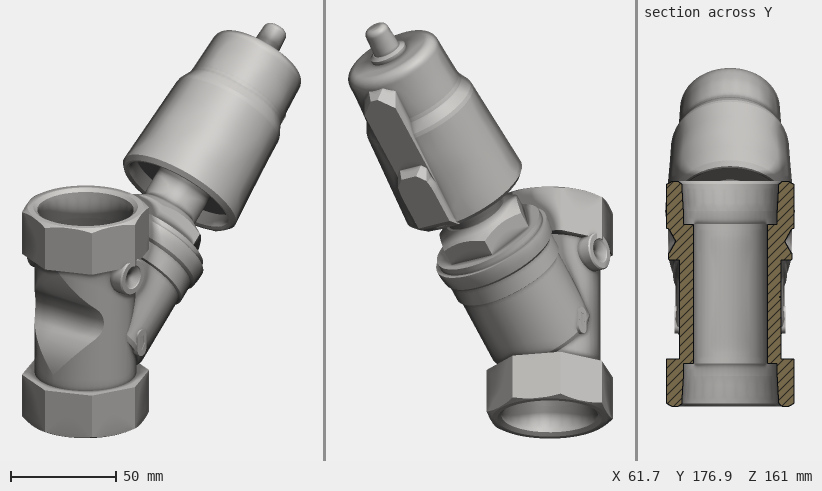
import cadquery as cq
import math

BODY_LENGTH = 107.4
BRANCH_ANGLE = 40.0
BRANCH_ORIGIN_Z = -19.3
OVERLAP = 1.0

PIPE_RADIUS = 24.2
BORE_DIAMETER = 35.0
OCTAGON_LENGTH = 22.8
OCTAGON_CORNER_RADIUS = 30.4
OCTAGON_FACE_RADIUS = 27.6
OCTAGON_CHAMFER_HEIGHT = 1.6
SOCKET_MOUTH_RADIUS = 24.9
SOCKET_DIAMETER = 45.93
SOCKET_END_RADIUS = 22.2
SOCKET_MOUTH_DEPTH = 1.5
SOCKET_TAPER_END = 14.5
SOCKET_DEPTH = 20.5

WAIST_Z = 3.15
WAIST_DEPTH_Y = -11.9
WAIST_INNER_RADIUS = 10.5
WAIST_OUTER_RADIUS = 27.7
WAIST_WALL = 2.8
PASSAGE_HUMP_RADIUS = 20.0

BOSS_RADIUS = 8.95
BOSS_FACE_X = 29.4
BOSS_Z = 25.0
BOSS_EDGE_CHAMFER = 0.6
DIMPLE_RADIUS = 5.8
DIMPLE_EDGE_CHAMFER = 0.4
DIMPLE_CONE_DEPTH = 3.0

PAD_WIDTH = 6.5
PAD_LENGTH = 13.2
PAD_Y = 10.2
PAD_Z = -12.4
PAD_FACE_X = 26.4
ARROW_DEPTH = 0.3
ARROW_LENGTH = 7.0
ARROW_HEAD_LENGTH = 3.2
ARROW_WIDTH = 4.8
ARROW_SHAFT_WIDTH = 2.8

BRANCH_DIAMETER = 51.7
BRANCH_START = 7.6
BRANCH_START_BEVEL = 2.0
BRANCH_START_RADIUS = 25.0
COLLAR_DIAMETER = 54.4
COLLAR_START = 45.2
COLLAR_RAMP_LENGTH = 0.6
FLANGE_RADIUS = 29.25
FLANGE_MIDDLE_RADIUS = 29.1
FLANGE_START = 53.9
FLANGE_STEP = 1.3
FLANGE_MIDDLE = 58.4
FLANGE_END = 62.7
COLLAR_END = 66.1

NUT_FLATS = 41.0
NUT_END = 80.0
NUT_END_RADIUS = 15.2
NUT_CONE_SLOPE = 1.44
STEM_DIAMETER = 28.0

HOUSING_START = 89.8
HOUSING_START_RADIUS = 29.0
RECESS_RADIUS = 27.0
RECESS_DEPTH = 8.0
RECESS_MOUTH_CHAMFER = 1.0
SKIRT_START = 91.9
SKIRT_START_RADIUS = 30.84
SKIRT_END = 138.6
SKIRT_END_RADIUS = 28.05
SHOULDER_START = 140.6
SHOULDER_START_RADIUS = 27.6
SHOULDER_END = 145.6
SHOULDER_END_RADIUS = 25.1
CAP_START = 147.6
CAP_START_RADIUS = 24.7
CAP_ROUND_START = 166.9
CAP_ROUND_RADIUS = 5.0
CAP_FACE_RADIUS = 18.75
HOUSING_END = CAP_ROUND_START + CAP_ROUND_RADIUS

PIN_COLLAR_DIAMETER = 18.2
PIN_COLLAR_END = HOUSING_END + 1.9
PIN_SEAT_END = HOUSING_END + 3.0
PIN_SEAT_RADIUS = 7.2
PIN_BASE_RADIUS = 6.6
PIN_TOP_RADIUS = 5.95
PIN_ROUND_RADIUS = 2.95
PIN_END = 187.8

PORT_HALF_WIDTH = 9.0
PORT_TIP_HALF_WIDTH = 2.0
PORT_TIP_LENGTH = 5.0
PORT_ROOT_HEIGHT = 18.0
PORT_END_LEAN = 0.49
PORT_SLANT = 5.6
PORT_LOW_HEIGHT = 34.0
PORT_LOW_END = 122.5
PORT_LOW_TAPER_START = 112.4
PORT_LOW_TAPER_END = 118.0
PORT_LOW_TAPER_DEPTH = 0.7
PORT_LOW_SHOULDER_Y = 112.3
PORT_HIGH_HEIGHT = 28.9
PORT_HIGH_END = 164.0
PORT_HIGH_SHOULDER_Y = 139.2


def revolved(outline):
    """Solid of revolution about local Z from a closed outline of (radius, station)."""
    return outline.close().revolve(360, (0, 0, 0), (0, 1, 0))


def on_branch(local):
    """Move a shape built about local Z onto the inclined branch axis."""
    tilted = local.rotate((0, 0, 0), (1, 0, 0), BRANCH_ANGLE - 90)
    return tilted.translate((0, 0, BRANCH_ORIGIN_Z))


def on_both_sides(shape):
    """A shape on one X side together with its mirror image on the other side."""
    return shape.union(shape.mirror("YZ"))


def octagon_end():
    """Octagonal pipe end with its outer (+Z) corners chamfered by a cone."""
    top = BODY_LENGTH / 2
    octagon = (
        cq.Workplane("XY")
        .workplane(offset=top - OCTAGON_LENGTH)
        .polygon(8, 2 * OCTAGON_CORNER_RADIUS)
        .extrude(OCTAGON_LENGTH)
    )
    envelope = revolved(
        cq.Workplane("XZ")
        .moveTo(0, 0)
        .lineTo(OCTAGON_CORNER_RADIUS, 0)
        .lineTo(OCTAGON_CORNER_RADIUS, top - OCTAGON_CHAMFER_HEIGHT)
        .lineTo(OCTAGON_FACE_RADIUS, top)
        .lineTo(0, top)
    )
    return octagon.intersect(envelope)


def socket():
    """Tapered pipe socket cut from the +Z end face."""
    top = BODY_LENGTH / 2
    return revolved(
        cq.Workplane("XZ")
        .moveTo(0, top)
        .lineTo(SOCKET_MOUTH_RADIUS, top)
        .lineTo(SOCKET_DIAMETER / 2, top - SOCKET_MOUTH_DEPTH)
        .lineTo(SOCKET_END_RADIUS, top - SOCKET_TAPER_END)
        .lineTo(SOCKET_END_RADIUS, top - SOCKET_DEPTH)
        .lineTo(0, top - SOCKET_DEPTH)
    )


def waist():
    """Prism along X that fills the waist."""
    rounds = WAIST_INNER_RADIUS + WAIST_OUTER_RADIUS
    turn = math.acos(1 - (WAIST_DEPTH_Y + PIPE_RADIUS) / rounds)
    join_y = WAIST_DEPTH_Y - WAIST_INNER_RADIUS * (1 - math.cos(turn))
    join_z = WAIST_INNER_RADIUS * math.sin(turn)
    end_z = rounds * math.sin(turn)
    middle_y = -PIPE_RADIUS + WAIST_OUTER_RADIUS * (1 - math.cos(turn / 2))
    middle_z = end_z - WAIST_OUTER_RADIUS * math.sin(turn / 2)
    outside_y = -2 * PIPE_RADIUS
    return (
        cq.Workplane("YZ", origin=(0, 0, WAIST_Z))
        .moveTo(outside_y, -end_z)
        .lineTo(-PIPE_RADIUS, -end_z)
        .threePointArc((middle_y, -middle_z), (join_y, -join_z))
        .threePointArc((WAIST_DEPTH_Y, 0), (join_y, join_z))
        .threePointArc((middle_y, middle_z), (-PIPE_RADIUS, end_z))
        .lineTo(outside_y, end_z)
        .close()
        .extrude(PIPE_RADIUS + OVERLAP, both=True)
    )


def passage_hump():
    """Cylinder along X that keeps a wall between the bore and the waist."""
    centre_y = WAIST_DEPTH_Y + WAIST_WALL - PASSAGE_HUMP_RADIUS
    return (
        cq.Workplane("YZ", origin=(0, centre_y, WAIST_Z))
        .circle(PASSAGE_HUMP_RADIUS)
        .extrude(PIPE_RADIUS, both=True)
    )


def pipe():
    """Waisted pipe between the two octagonal ends."""
    tube = cq.Workplane("XY").circle(PIPE_RADIUS).extrude(BODY_LENGTH / 2 - OVERLAP, both=True)
    upper_end = octagon_end()
    return tube.cut(waist()).union(upper_end).union(upper_end.mirror("XY"))


def flow_passage():
    """Bore narrowed by the hump behind the waist, with a socket at each end."""
    bore = cq.Workplane("XY").circle(BORE_DIAMETER / 2).extrude(BODY_LENGTH / 2 - OVERLAP, both=True)
    upper_socket = socket()
    return bore.cut(passage_hump()).union(upper_socket).union(upper_socket.mirror("XY"))


def plug_boss():
    """Round boss on the -X side with a conical dimple in its face."""
    root_x = BORE_DIAMETER / 2 + OVERLAP
    boss = revolved(
        cq.Workplane("XZ")
        .moveTo(0, root_x)
        .lineTo(BOSS_RADIUS, root_x)
        .lineTo(BOSS_RADIUS, BOSS_FACE_X - BOSS_EDGE_CHAMFER)
        .lineTo(BOSS_RADIUS - BOSS_EDGE_CHAMFER, BOSS_FACE_X)
        .lineTo(DIMPLE_RADIUS, BOSS_FACE_X)
        .lineTo(DIMPLE_RADIUS - DIMPLE_EDGE_CHAMFER, BOSS_FACE_X - DIMPLE_EDGE_CHAMFER)
        .lineTo(0, BOSS_FACE_X - DIMPLE_EDGE_CHAMFER - DIMPLE_CONE_DEPTH)
    )
    return boss.rotate((0, 0, 0), (0, 1, 0), -90).translate((0, 0, BOSS_Z))


def arrow_pad():
    """Raised oblong pad on the -X side of the branch, engraved with a downward arrow."""
    face = cq.Workplane("YZ", origin=(-PAD_FACE_X, PAD_Y, PAD_Z))
    pad = face.slot2D(PAD_LENGTH, PAD_WIDTH, 90).extrude(PAD_FACE_X - BORE_DIAMETER / 2 - OVERLAP)
    tip = -ARROW_LENGTH / 2
    head = tip + ARROW_HEAD_LENGTH
    arrow = (
        face.moveTo(0, tip)
        .lineTo(ARROW_WIDTH / 2, head)
        .lineTo(ARROW_SHAFT_WIDTH / 2, head)
        .lineTo(ARROW_SHAFT_WIDTH / 2, -tip)
        .lineTo(-ARROW_SHAFT_WIDTH / 2, -tip)
        .lineTo(-ARROW_SHAFT_WIDTH / 2, head)
        .lineTo(-ARROW_WIDTH / 2, head)
        .close()
        .extrude(ARROW_DEPTH)
    )
    return pad.cut(arrow)


def branch():
    """Branch barrel with its collar and rounded flange."""
    barrel = BRANCH_DIAMETER / 2
    collar = COLLAR_DIAMETER / 2
    return revolved(
        cq.Workplane("XZ")
        .moveTo(0, BRANCH_START)
        .lineTo(BRANCH_START_RADIUS, BRANCH_START)
        .lineTo(barrel, BRANCH_START + BRANCH_START_BEVEL)
        .lineTo(barrel, COLLAR_START - COLLAR_RAMP_LENGTH)
        .lineTo(collar, COLLAR_START)
        .lineTo(collar, FLANGE_START)
        .lineTo(collar + FLANGE_STEP, FLANGE_START + FLANGE_STEP)
        .threePointArc((FLANGE_MIDDLE_RADIUS, FLANGE_MIDDLE), (FLANGE_RADIUS, FLANGE_END))
        .lineTo(collar, FLANGE_END)
        .lineTo(collar, COLLAR_END)
        .lineTo(0, COLLAR_END)
    )


def bonnet_nut():
    """Hexagon nut with a conical top."""
    start = COLLAR_END - OVERLAP
    corner_diameter = NUT_FLATS / math.cos(math.radians(30))
    nut = cq.Workplane("XY").workplane(offset=start).polygon(6, corner_diameter).extrude(NUT_END - start)
    wide_radius = NUT_END_RADIUS + NUT_CONE_SLOPE * (NUT_END - start)
    cone = revolved(
        cq.Workplane("XZ")
        .moveTo(0, start)
        .lineTo(wide_radius, start)
        .lineTo(NUT_END_RADIUS, NUT_END)
        .lineTo(0, NUT_END)
    )
    return nut.intersect(cone)


def stem():
    """Round neck between the nut and the actuator housing."""
    start = NUT_END - OVERLAP
    length = HOUSING_START + RECESS_DEPTH + OVERLAP - start
    return cq.Workplane("XY").workplane(offset=start).circle(STEM_DIAMETER / 2).extrude(length)


def housing():
    """Tapered actuator skirt, shoulder and cap."""
    diagonal = CAP_ROUND_RADIUS * math.sqrt(0.5)
    return revolved(
        cq.Workplane("XZ")
        .moveTo(0, HOUSING_START)
        .lineTo(HOUSING_START_RADIUS, HOUSING_START)
        .lineTo(SKIRT_START_RADIUS, SKIRT_START)
        .lineTo(SKIRT_END_RADIUS, SKIRT_END)
        .lineTo(SHOULDER_START_RADIUS, SHOULDER_START)
        .lineTo(SHOULDER_END_RADIUS, SHOULDER_END)
        .lineTo(CAP_START_RADIUS, CAP_START)
        .lineTo(CAP_FACE_RADIUS + CAP_ROUND_RADIUS, CAP_ROUND_START)
        .threePointArc((CAP_FACE_RADIUS + diagonal, CAP_ROUND_START + diagonal), (CAP_FACE_RADIUS, HOUSING_END))
        .lineTo(0, HOUSING_END)
    )


def indicator_pin():
    """Tapered, round-tipped pin standing on a stepped collar."""
    tip_radius = PIN_TOP_RADIUS - PIN_ROUND_RADIUS
    round_start = PIN_END - PIN_ROUND_RADIUS
    diagonal = PIN_ROUND_RADIUS * math.sqrt(0.5)
    collar = PIN_COLLAR_DIAMETER / 2
    return revolved(
        cq.Workplane("XZ")
        .moveTo(0, HOUSING_END - OVERLAP)
        .lineTo(collar, HOUSING_END - OVERLAP)
        .lineTo(collar, PIN_COLLAR_END)
        .lineTo(PIN_SEAT_RADIUS, PIN_SEAT_END)
        .lineTo(PIN_BASE_RADIUS, PIN_SEAT_END)
        .lineTo(PIN_TOP_RADIUS, round_start)
        .threePointArc((tip_radius + diagonal, round_start + diagonal), (tip_radius, PIN_END))
        .lineTo(0, PIN_END)
    )


def port_block(height, end, shoulder_y):
    """Block under the housing, with a leaning far end and corners cut off vertically."""
    side = (
        cq.Workplane("YZ", origin=(-PORT_HALF_WIDTH, 0, 0))
        .moveTo(PORT_ROOT_HEIGHT, HOUSING_START)
        .lineTo(height - PORT_SLANT, HOUSING_START)
        .lineTo(height, HOUSING_START + PORT_SLANT)
        .lineTo(height, end)
        .lineTo(PORT_ROOT_HEIGHT, end + (height - PORT_ROOT_HEIGHT) * PORT_END_LEAN)
        .close()
        .extrude(2 * PORT_HALF_WIDTH)
    )
    tip_y = shoulder_y + PORT_TIP_LENGTH
    plan = (
        cq.Workplane("XY")
        .moveTo(-PORT_HALF_WIDTH, 0)
        .lineTo(PORT_HALF_WIDTH, 0)
        .lineTo(PORT_HALF_WIDTH, shoulder_y)
        .lineTo(PORT_TIP_HALF_WIDTH, tip_y)
        .lineTo(-PORT_TIP_HALF_WIDTH, tip_y)
        .lineTo(-PORT_HALF_WIDTH, shoulder_y)
        .close()
        .extrude(end, both=True)
    )
    return side.intersect(plan.rotate((0, 0, 0), (1, 0, 0), 90 - BRANCH_ANGLE))


def low_port_sides():
    """Prism across the low block whose sides curve inwards before its far end."""
    narrow = PORT_HALF_WIDTH - PORT_LOW_TAPER_DEPTH
    far_end = PORT_LOW_END + PORT_LOW_HEIGHT
    half = (
        cq.Workplane("XZ")
        .moveTo(0, 0)
        .lineTo(PORT_HALF_WIDTH, 0)
        .lineTo(PORT_HALF_WIDTH, PORT_LOW_TAPER_START)
        .tangentArcPoint((narrow, PORT_LOW_TAPER_END), relative=False)
        .lineTo(narrow, far_end)
        .lineTo(0, far_end)
        .close()
        .extrude(-PORT_LOW_HEIGHT)
    )
    return on_both_sides(half)


def housing_recess():
    """Round recess in the underside of the housing, chamfered at its mouth."""
    floor = HOUSING_START + RECESS_DEPTH
    return revolved(
        cq.Workplane("XZ")
        .moveTo(0, HOUSING_START)
        .lineTo(RECESS_RADIUS + RECESS_MOUTH_CHAMFER, HOUSING_START)
        .lineTo(RECESS_RADIUS, HOUSING_START + RECESS_MOUTH_CHAMFER)
        .lineTo(RECESS_RADIUS, floor)
        .lineTo(0, floor)
    )


def actuator():
    """Stem, housing, port blocks and pin, about local Z."""
    low_port = port_block(PORT_LOW_HEIGHT, PORT_LOW_END, PORT_LOW_SHOULDER_Y).intersect(low_port_sides())
    high_port = port_block(PORT_HIGH_HEIGHT, PORT_HIGH_END, PORT_HIGH_SHOULDER_Y)
    shell = housing().union(low_port).union(high_port).cut(housing_recess())
    return shell.union(stem()).union(indicator_pin())


inclined = on_branch(branch().union(bonnet_nut()).union(actuator()))
solid_body = pipe().union(inclined)
solid_body = solid_body.union(on_both_sides(plug_boss())).union(on_both_sides(arrow_pad()))
result = solid_body.cut(flow_passage())